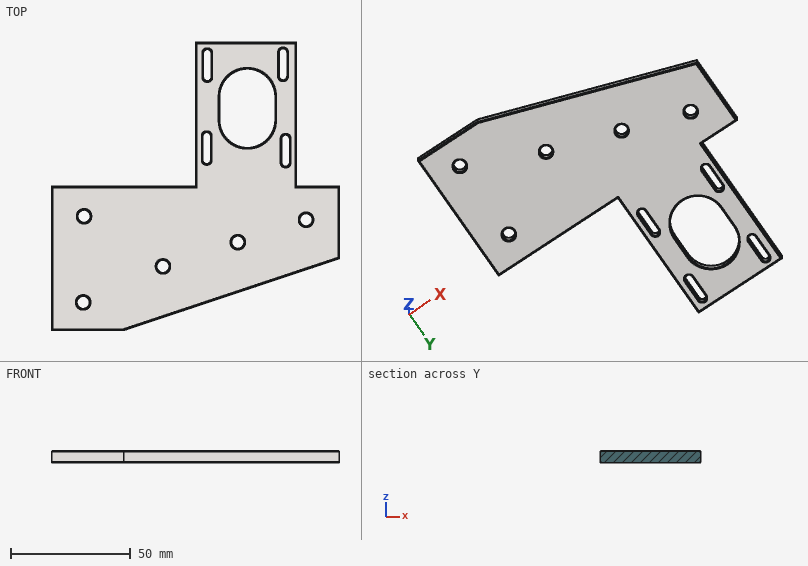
import cadquery as cq

side = 120.0
thickness = 5.0
edge_chamfer = 0.5

base_top = side / 2
tab_left = side / 2
tab_right = 102.0
slant_start_x = side / 4
slant_end_y = side / 4

hole_diameter = 5.3
hole_centers = [(13.5, 47.5), (13.2, 11.6), (46.5, 26.6), (77.6, 36.7), (106.1, 46.1)]

slot_width = 3.4
slot_length = 13.2
slot_centers = [(64.9, 110.5), (96.5, 110.9), (64.7, 76.0), (97.5, 74.9)]

window_width = 23.2
window_length = 32.9
window_center = (81.6, 92.5)


def plate():
    """Flat plate with its lower left corner at the origin."""
    outline = [
        (0, 0),
        (slant_start_x, 0),
        (side, slant_end_y),
        (side, base_top),
        (tab_right, base_top),
        (tab_right, side),
        (tab_left, side),
        (tab_left, base_top),
        (0, base_top),
    ]
    return cq.Workplane("XY").polyline(outline).close().extrude(thickness)


def vertical_slots(centers, length, width):
    """Through cutters with round ends, long in Y."""
    return cq.Workplane("XY").pushPoints(centers).slot2D(length, width, 90).extrude(thickness)


def round_holes():
    """Through cutters for the mounting holes."""
    return cq.Workplane("XY").pushPoints(hole_centers).circle(hole_diameter / 2).extrude(thickness)


body = (
    plate()
    .cut(round_holes())
    .cut(vertical_slots(slot_centers, slot_length, slot_width))
    .cut(vertical_slots([window_center], window_length, window_width))
)

result = body.faces("<Z or >Z").edges().chamfer(edge_chamfer)